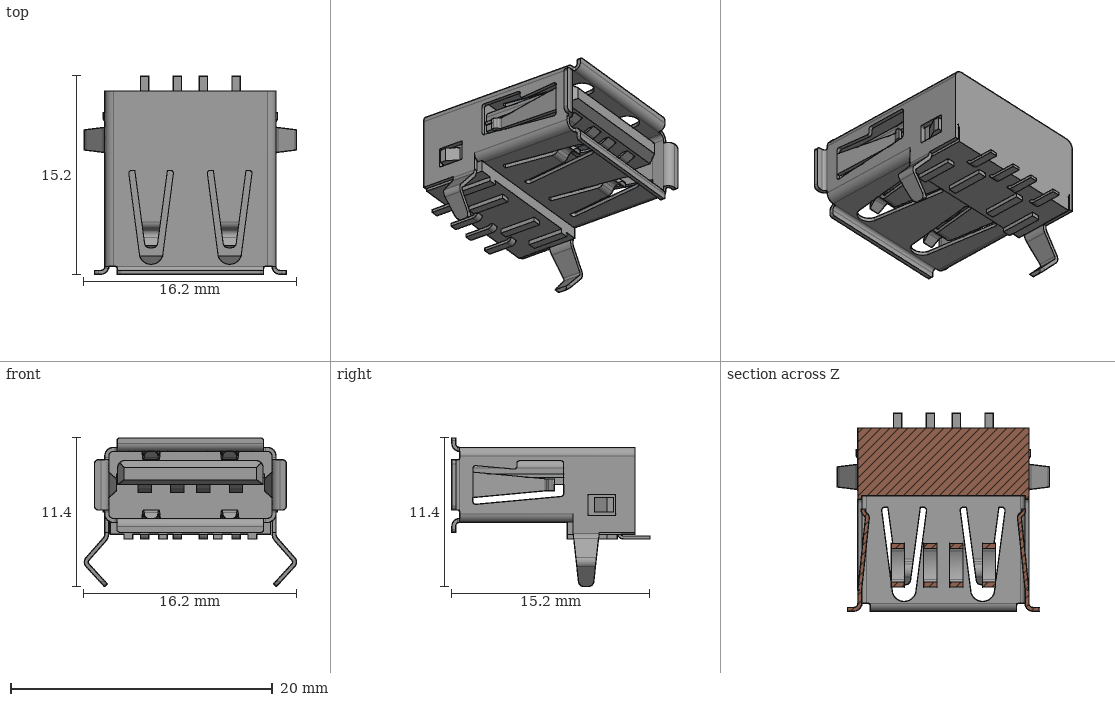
import cadquery as cq
import math


overlap = 0.16
sheet = 0.31
shell_width = 13.1
shell_height = 5.75
shell_length = 13.42
shell_corner = 0.67
shell_side = shell_width / 2
shell_top = shell_height / 2
inner_side = shell_side - sheet
inner_top = shell_top - sheet
floor_length = 8.65
wall_bottom = -3.64

lip_bend = 0.3
lip_root_fillet = 0.15
long_lip_width = 11.21
side_lip_width = 3.86
top_lip_rise = 0.73
bottom_lip_rise = 0.76
side_lip_rise = 0.8
long_lip_corner = 0.23
side_lip_corner = 0.32

spring_x = 3.0
slot_rear = 7.35
slot_front = 0.8
slot_rear_half = 1.74
slot_front_half = 0.88
slot_nose = 0.63
slot_corner = 0.23
spring_root_half = 1.25
spring_tip_half = 0.45
spring_tip = 1.43
spring_tip_corner = 0.39
spring_dip_y = 3.2
spring_valley = (2.56, 0.88)
spring_lip = (1.5, 0.02)
spring_bends = (0.23, 0.39)

window_front = 1.02
window_rear = 7.95
window_front_half = 1.5
window_rear_half = 0.86
window_corner = 0.21
window_step_y = 4.38
window_step_top = 1.85
side_spring_root_half = 0.99
side_spring_tip_half = 0.45
side_spring_knee = 6.65
side_spring_tip = 7.24
side_spring_jog_y = 6.98
side_spring_jog = 0.32
side_spring_bends = (0.13, 0.05)
side_spring_reach = 5.65

leg_y = 9.67
leg_root_half = 1.0
leg_tip_half = 0.55
leg_tip_corner = 0.42
leg_tip_z = -7.77
leg_bend_z = -4.0
leg_knee = (8.08, -5.9)
leg_end = (6.46, -7.68)
leg_bends = (0.55, 0.2)

housing_front = 8.23
housing_base_half = 6.13
housing_bottom = -3.78
foot_bottom = -4.14
foot_width = 0.68
outer_foot = (4.74, housing_front, 11.26)
inner_foot = (2.1, 8.93, 12.06)

tongue_half = 5.57
tongue_top = 1.87
tongue_bottom = 0.025
tongue_round = 0.58
tongue_bevel = 0.8
tongue_tip_half = 5.06
tongue_tip_top = 1.33
tongue_tip_bottom = 0.39
tongue_rib_reach = 5.66
tongue_rib_front = 1.62
tongue_rib_z = (0.57, 0.83)

lug_front = 10.3
lug_crest = 11.26
lug_rear = 11.75
lug_reach = 6.67
lug_z = (-2.06, -0.95)
latch_y = (9.82, 11.93)
latch_z = (-2.35, -0.73)
latch_corner = 0.1

contact_x = (-3.49, -0.99, 0.99, 3.49)
contact_width = 1.02
contact_sheet = 0.2
contact_low = -0.7
contact_y = (0.97, 2.92, 4.87)
contact_bend = 2.43
pin_width = 0.65
pin_sheet = 0.25
pin_overhang = 1.14
pin_riser_y = 12.17
pin_bend = 0.23


def span_box(x_span, y_span, z_span):
    """Box between the given limits."""
    size = [span[1] - span[0] for span in (x_span, y_span, z_span)]
    corner = (x_span[0], y_span[0], z_span[0])
    return cq.Workplane("XY").box(*size, centered=False).translate(corner)


def both_sides(body, plane="YZ"):
    """The body joined with its mirror image."""
    return body.union(body.mirror(plane))


def bent_sheet(plane, path, bends, thickness, width):
    """Strip of sheet following a centre line, with an inside bend radius for each corner."""
    half = thickness / 2

    def direction(start, end):
        length = math.dist(start, end)
        return ((end[0] - start[0]) / length, (end[1] - start[1]) / length)

    def shifted(point, along, side):
        return (point[0] - side * half * along[1], point[1] + side * half * along[0])

    def edge_pieces(points, side):
        """Start point, then for each bend its arc start, middle and end, then the end point."""
        pieces = [shifted(points[0], direction(points[0], points[1]), side)]
        for before, corner, after, bend in zip(points, points[1:], points[2:], bends):
            middle_radius = bend + half
            d_in = direction(before, corner)
            d_out = direction(corner, after)
            turn = math.atan2(d_in[0] * d_out[1] - d_in[1] * d_out[0],
                              d_in[0] * d_out[0] + d_in[1] * d_out[1])
            setback = middle_radius * math.tan(abs(turn) / 2)
            hand = math.copysign(1, turn)
            arc_start = (corner[0] - setback * d_in[0], corner[1] - setback * d_in[1])
            centre = (arc_start[0] - hand * middle_radius * d_in[1],
                      arc_start[1] + hand * middle_radius * d_in[0])
            radius = middle_radius - hand * side * half
            first_angle = math.atan2(arc_start[1] - centre[1], arc_start[0] - centre[0])
            for fraction in (0, 0.5, 1):
                angle = first_angle + fraction * turn
                pieces.append((centre[0] + radius * math.cos(angle),
                               centre[1] + radius * math.sin(angle)))
        pieces.append(shifted(points[-1], direction(points[-2], points[-1]), side))
        return pieces

    def draw_edge(outline, pieces):
        for i in range(1, len(pieces) - 1, 3):
            outline = outline.lineTo(*pieces[i]).threePointArc(pieces[i + 1], pieces[i + 2])
        return outline.lineTo(*pieces[-1])

    left = edge_pieces(path, 1)
    right = edge_pieces(path, -1)[::-1]
    outline = draw_edge(cq.Workplane(plane).moveTo(*left[0]), left)
    outline = draw_edge(outline.lineTo(*right[0]), right)
    return outline.close().extrude(width / 2, both=True)


def make_tube():
    """Rounded tube at the front, open-bottomed channel behind the floor."""
    def rounded_bar(width, height, radius):
        bar = cq.Workplane("XZ").rect(width, height).extrude(-shell_length)
        return bar.edges("|Y").fillet(radius)

    outside = rounded_bar(shell_width, shell_height, shell_corner)
    inside = rounded_bar(2 * inner_side, 2 * inner_top, shell_corner - sheet)
    behind_floor = span_box((-shell_side, shell_side), (floor_length, shell_length), (-shell_top, 0))
    side_wall = span_box((inner_side, shell_side), (floor_length, shell_length), (wall_bottom, 0))
    return outside.cut(inside).cut(behind_floor).union(both_sides(side_wall))


def make_lip(width, rise, corner):
    """Lip flared up from a sheet whose outer face is at Z = 0."""
    middle = lip_bend + sheet / 2
    path = [(overlap, -sheet / 2), (-middle, -sheet / 2), (-middle, rise)]
    lip = bent_sheet("YZ", path, [lip_bend], sheet, width)
    lip = lip.edges("|Y and >Z").fillet(corner)
    root_fillet = (
        cq.Workplane("XY", origin=(0, 0, -sheet))
        .moveTo(width / 2, 0)
        .lineTo(width / 2 + lip_root_fillet, 0)
        .radiusArc((width / 2, -lip_root_fillet), -lip_root_fillet)
        .close()
        .extrude(sheet)
    )
    return lip.union(both_sides(root_fillet))


def make_lips():
    top = make_lip(long_lip_width, top_lip_rise, long_lip_corner).translate((0, 0, shell_top))
    bottom = make_lip(long_lip_width, bottom_lip_rise, long_lip_corner)
    bottom = bottom.translate((0, 0, shell_top)).rotate((0, 0, 0), (0, 1, 0), 180)
    side = make_lip(side_lip_width, side_lip_rise, side_lip_corner)
    side = side.translate((0, 0, shell_side)).rotate((0, 0, 0), (0, 1, 0), 90)
    return top.union(bottom).union(both_sides(side))


def make_roof_slot():
    """Tapered opening around one roof spring."""
    slot = (
        cq.Workplane("XY", origin=(spring_x, 0, inner_top - overlap))
        .moveTo(-slot_rear_half, slot_rear)
        .lineTo(-slot_front_half, slot_front)
        .threePointArc((0, slot_front - slot_nose), (slot_front_half, slot_front))
        .lineTo(slot_rear_half, slot_rear)
        .close()
        .extrude(sheet + 2 * overlap)
    )
    return slot.edges("|Z and >Y").fillet(slot_corner)


def make_roof_spring():
    """Tongue of roof sheet that dips inward and turns up again at its tip."""
    middle = shell_top - sheet / 2
    path = [(slot_rear + overlap, middle), (spring_dip_y, middle),
            (spring_valley[0], middle - spring_valley[1]), (spring_lip[0], middle + spring_lip[1])]
    strip = bent_sheet("YZ", path, spring_bends, sheet, 2 * spring_root_half)
    outline = (
        cq.Workplane("XY")
        .polyline([(-spring_root_half, slot_rear), (-spring_tip_half, spring_tip),
                   (spring_tip_half, spring_tip), (spring_root_half, slot_rear)])
        .close()
        .extrude(shell_top + sheet)
        .edges("|Z and <Y").fillet(spring_tip_corner)
    )
    width_span = (-spring_root_half, spring_root_half)
    root = span_box(width_span, (slot_rear, slot_rear + overlap), (inner_top, shell_top))
    return strip.intersect(outline).union(root).translate((spring_x, 0, 0))


def make_side_window():
    """Opening around one side spring, with a raised rear part."""
    slope = (window_front_half - window_rear_half) / (window_rear - window_front)
    step_z = window_front_half - slope * (window_step_y - window_front)
    window = (
        cq.Workplane("YZ", origin=(inner_side - overlap, 0, 0))
        .polyline([(window_front, -window_front_half), (window_rear, -window_rear_half),
                   (window_rear, window_step_top), (window_step_y, window_step_top),
                   (window_step_y, step_z), (window_front, window_front_half)])
        .close()
        .extrude(sheet + 2 * overlap)
    )
    return window.edges("|X").fillet(window_corner)


def make_side_spring():
    """Strip of side wall leaning inward, with its free end jogged back out."""
    middle = shell_side - sheet / 2
    knee_x = side_spring_reach + sheet / 2
    end_x = knee_x + side_spring_jog
    path = [(middle, window_front), (knee_x, side_spring_knee),
            (end_x, side_spring_jog_y), (end_x, side_spring_tip)]
    strip = bent_sheet("XY", path, side_spring_bends, sheet, 2 * side_spring_root_half)
    root_y = window_front - overlap
    tip_y = side_spring_tip + overlap
    outline = (
        cq.Workplane("YZ")
        .polyline([(root_y, -side_spring_root_half), (root_y, side_spring_root_half),
                   (side_spring_knee, side_spring_tip_half), (tip_y, side_spring_tip_half),
                   (tip_y, -side_spring_tip_half), (side_spring_knee, -side_spring_tip_half)])
        .close()
        .extrude(shell_width)
    )
    return strip.intersect(outline)


def make_leg():
    """Tapered leg that kinks outward and back to snap into a board."""
    middle = shell_side - sheet / 2
    path = [(middle, wall_bottom + overlap), (middle, leg_bend_z), leg_knee, leg_end]
    strip = bent_sheet("XZ", path, leg_bends, sheet, 2 * leg_root_half)
    outline = (
        cq.Workplane("YZ")
        .polyline([(-leg_root_half, wall_bottom + overlap), (-leg_root_half, wall_bottom),
                   (-leg_tip_half, leg_tip_z), (leg_tip_half, leg_tip_z),
                   (leg_root_half, wall_bottom), (leg_root_half, wall_bottom + overlap)])
        .close()
        .extrude(shell_width)
        .edges("|X and <Z").fillet(leg_tip_corner)
    )
    return strip.intersect(outline).translate((0, leg_y, 0))


def make_shell():
    slots = both_sides(both_sides(make_roof_slot()), "XY")
    springs = both_sides(both_sides(make_roof_spring()), "XY")
    latch = span_box((inner_side - overlap, shell_side + overlap), latch_y, latch_z)
    latch = latch.edges("|X").fillet(latch_corner)
    shell = make_tube().union(make_lips())
    shell = shell.cut(slots).cut(both_sides(make_side_window())).cut(both_sides(latch))
    return shell.union(springs).union(both_sides(make_side_spring())).union(both_sides(make_leg()))


def make_tongue():
    """Contact tongue with rounded top corners and a tapered front end."""
    height = tongue_top - tongue_bottom
    centre_z = (tongue_top + tongue_bottom) / 2
    tip_drop = (tongue_tip_top + tongue_tip_bottom) / 2 - centre_z
    bar = (
        cq.Workplane("XZ", origin=(0, 0, centre_z))
        .rect(2 * tongue_half, height)
        .extrude(-housing_front)
        .edges("|Y and >Z").fillet(tongue_round)
    )
    taper = (
        cq.Workplane("XZ", origin=(0, tongue_bevel, centre_z))
        .rect(2 * tongue_half, height)
        .workplane(offset=tongue_bevel)
        .center(0, tip_drop)
        .rect(2 * tongue_tip_half, tongue_tip_top - tongue_tip_bottom)
        .loft(ruled=True)
    )
    behind_taper = span_box(
        (-tongue_half, tongue_half), (tongue_bevel, housing_front), (tongue_bottom, tongue_top)
    )
    rib = span_box((0, tongue_rib_reach), (tongue_rib_front, housing_front), tongue_rib_z)
    return bar.intersect(taper.union(behind_taper)).union(both_sides(rib))


def make_lug():
    """Wedge that latches into the side wall opening."""
    root_x = housing_base_half - overlap
    return (
        cq.Workplane("XY", origin=(0, 0, lug_z[0]))
        .polyline([(root_x, lug_front), (housing_base_half, lug_front), (lug_reach, lug_crest),
                   (lug_reach, lug_rear), (root_x, lug_rear)])
        .close()
        .extrude(lug_z[1] - lug_z[0])
    )


def make_housing():
    """Block filling the rear of the shell, with tongue, feet and latch lugs."""
    block = (
        cq.Workplane("XZ", origin=(0, housing_front, 0))
        .rect(2 * inner_side, 2 * inner_top)
        .extrude(housing_front - shell_length)
        .edges("|Y").fillet(shell_corner - sheet)
    )
    latch_gap = span_box((housing_base_half, shell_side), latch_y, latch_z)
    block = block.cut(both_sides(latch_gap))
    base_span = (-housing_base_half, housing_base_half)
    base = span_box(base_span, (housing_front, shell_length), (housing_bottom, 0))
    housing = block.union(base).union(make_tongue()).union(both_sides(make_lug()))
    for foot_x, foot_front, foot_rear in (outer_foot, inner_foot):
        foot_span = (foot_x - foot_width / 2, foot_x + foot_width / 2)
        foot = span_box(foot_span, (foot_front, foot_rear), (foot_bottom, housing_bottom + overlap))
        housing = housing.union(both_sides(foot))
    return housing


def make_contact():
    """Bowed spring under the tongue."""
    low = contact_low + contact_sheet / 2
    end_z = tongue_bottom + overlap
    front, middle, rear = contact_y
    radius = contact_bend + contact_sheet / 2
    half_turn = math.atan2(end_z - low, rear - middle)
    corner_z = low - radius * (1 / math.cos(half_turn) - 1)
    path = [(rear, end_z), (middle, corner_z), (front, end_z)]
    return bent_sheet("YZ", path, [contact_bend], contact_sheet, contact_width)


def make_pin():
    """Solder pin that leaves the housing downward and turns to the rear."""
    pin_z = foot_bottom + pin_sheet / 2
    pin_top = housing_bottom + overlap + pin_bend
    path = [(pin_riser_y, pin_top), (pin_riser_y, pin_z), (shell_length + pin_overhang, pin_z)]
    return bent_sheet("YZ", path, [pin_bend], pin_sheet, pin_width)


result = make_shell().union(make_housing())
for x in contact_x:
    result = result.union(make_contact().translate((x, 0, 0)))
    result = result.union(make_pin().translate((x, 0, 0)))